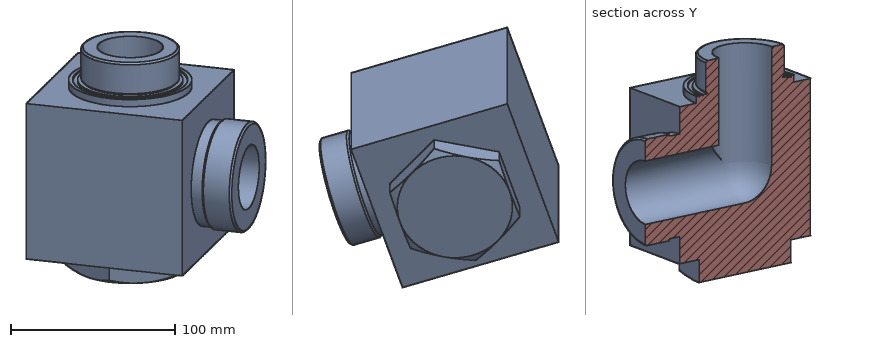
import math

import cadquery as cq

BODY_SIZE = 100.0
HALF_BODY = BODY_SIZE / 2

BORE_RADIUS = 20.0

THREAD_DEPTH = 1.225
TOP_THREAD_RADIUS = 30.0
TOP_ROOT_RADIUS = TOP_THREAD_RADIUS - THREAD_DEPTH
SIDE_THREAD_RADIUS = 34.0
SIDE_ROOT_RADIUS = SIDE_THREAD_RADIUS - THREAD_DEPTH

TOP_PORT_HEIGHT = 25.5
FLANGE_RADIUS = 37.5
FLANGE_HEIGHT = 4.5
SEAL_OUTER_RADIUS = 35.0
SEAL_INNER_RADIUS = 32.0
SEAL_MID_RADIUS = (SEAL_OUTER_RADIUS + SEAL_INNER_RADIUS) / 2
SEAL_SECTION_RADIUS = (SEAL_OUTER_RADIUS - SEAL_INNER_RADIUS) / 2

SIDE_PORT_LENGTH = 26.0
SIDE_NECK_LENGTH = 7.0

HEX_ACROSS_FLATS = 70.0
HEX_ACROSS_CORNERS = HEX_ACROSS_FLATS / math.cos(math.radians(30))
HEX_HEIGHT = 14.5
HEX_CHAMFER_ANGLE = 30.0


def make_top_port():
    """Flange, O-ring lying flush in its groove and threaded stub, turned about Z."""
    flange_top = HALF_BODY + FLANGE_HEIGHT
    groove_floor = flange_top - SEAL_SECTION_RADIUS
    port_top = HALF_BODY + TOP_PORT_HEIGHT
    profile = (
        cq.Workplane("XZ")
        .moveTo(0, HALF_BODY)
        .lineTo(FLANGE_RADIUS, HALF_BODY)
        .lineTo(FLANGE_RADIUS, flange_top)
        .lineTo(SEAL_OUTER_RADIUS, flange_top)
        .lineTo(SEAL_OUTER_RADIUS, groove_floor)
        .threePointArc((SEAL_MID_RADIUS, flange_top), (SEAL_INNER_RADIUS, groove_floor))
        .lineTo(SEAL_INNER_RADIUS, flange_top)
        .lineTo(TOP_ROOT_RADIUS, flange_top)
        .lineTo(TOP_THREAD_RADIUS, flange_top + THREAD_DEPTH)
        .lineTo(TOP_THREAD_RADIUS, port_top - THREAD_DEPTH)
        .lineTo(TOP_ROOT_RADIUS, port_top)
        .lineTo(0, port_top)
        .close()
    )
    return profile.revolve(360, (0, 0, 0), (0, 1, 0))


def make_side_port():
    """Neck and threaded end with bevelled edges, turned about X."""
    thread_start = HALF_BODY + SIDE_NECK_LENGTH
    port_end = HALF_BODY + SIDE_PORT_LENGTH
    profile = (
        cq.Workplane("XZ")
        .moveTo(HALF_BODY, 0)
        .lineTo(HALF_BODY, SIDE_ROOT_RADIUS)
        .lineTo(thread_start, SIDE_ROOT_RADIUS)
        .lineTo(thread_start + THREAD_DEPTH, SIDE_THREAD_RADIUS)
        .lineTo(port_end - THREAD_DEPTH, SIDE_THREAD_RADIUS)
        .lineTo(port_end, SIDE_ROOT_RADIUS)
        .lineTo(port_end, 0)
        .close()
    )
    return profile.revolve(360, (0, 0, 0), (1, 0, 0))


def make_hex_plug():
    """Hexagon whose lower corners are turned off by a cone touching the flats."""
    corner_radius = HEX_ACROSS_CORNERS / 2
    flat_radius = HEX_ACROSS_FLATS / 2
    chamfer_height = (corner_radius - flat_radius) * math.tan(math.radians(HEX_CHAMFER_ANGLE))
    plug_bottom = -HALF_BODY - HEX_HEIGHT
    hexagon = (
        cq.Workplane("XY", origin=(0, 0, plug_bottom))
        .transformed(rotate=(0, 0, 90))
        .polygon(6, HEX_ACROSS_CORNERS)
        .extrude(HEX_HEIGHT)
    )
    turned_envelope = (
        cq.Workplane("XZ")
        .moveTo(0, plug_bottom)
        .lineTo(flat_radius, plug_bottom)
        .lineTo(corner_radius, plug_bottom + chamfer_height)
        .lineTo(corner_radius, -HALF_BODY)
        .lineTo(0, -HALF_BODY)
        .close()
        .revolve(360, (0, 0, 0), (0, 1, 0))
    )
    return hexagon.intersect(turned_envelope)


def make_elbow_bore():
    """Vertical and horizontal bores meeting in a sphere at the body centre."""
    vertical = cq.Workplane("XY").circle(BORE_RADIUS).extrude(HALF_BODY + TOP_PORT_HEIGHT)
    horizontal = cq.Workplane("YZ").circle(BORE_RADIUS).extrude(HALF_BODY + SIDE_PORT_LENGTH)
    turn = cq.Workplane("XY").sphere(BORE_RADIUS)
    return vertical.union(horizontal).union(turn)


body = cq.Workplane("XY").box(BODY_SIZE, BODY_SIZE, BODY_SIZE)
solid_part = body.union(make_top_port()).union(make_side_port()).union(make_hex_plug())
result = solid_part.cut(make_elbow_bore())